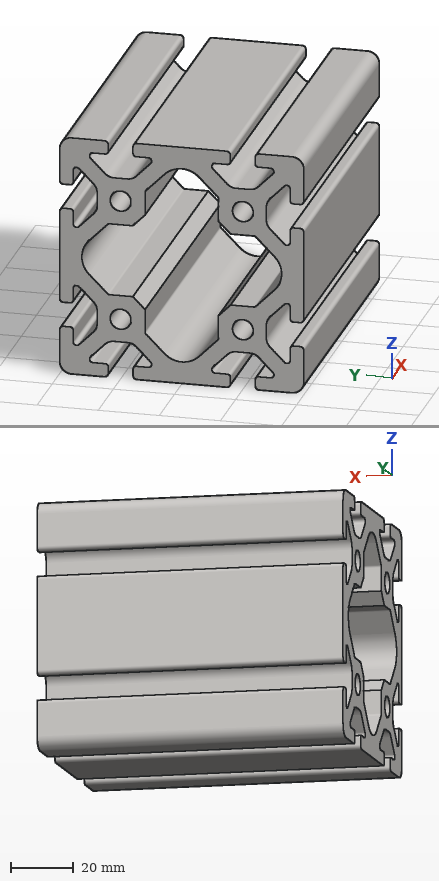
import cadquery as cq
import math

length = 100.0
side = 80.0
half_side = side / 2
slot_offset = side / 4
corner_radius = 4.0

mouth_width = 8.1
lip_thickness = 4.5
slot_depth = 12.3
floor_width = 7.8
lip_outer_radius = 1.3
lip_inner_radius = 1.0
undercut_radius = 1.1
floor_radius = 4.0

core_hole_diameter = 6.8
core_half_width = 8.0
core_chamfer = 4.0
core_foot_radius = 1.0
chamber_wall = 7.3


def turned(point, quarter_turns):
    """Rotate a section point about the middle of the section by quarter turns."""
    x, y = point
    for _ in range(quarter_turns):
        x, y = -y, x
    return x, y


def repeated_on_four_sides(corners):
    """Copy (point, radius) corners of the top side, listed right to left, around the section."""
    return [(turned(point, turns), radius) for turns in range(4) for point, radius in corners]


def stepped(start, target, distance):
    """The point at a distance from start on the way to target."""
    ratio = distance / math.dist(start, target)
    return (
        start[0] + ratio * (target[0] - start[0]),
        start[1] + ratio * (target[1] - start[1]),
    )


def corner_arc(before, point, after, radius):
    """Start, middle and end of the arc that rounds a polygon corner."""
    a, b, c = math.dist(before, point), math.dist(point, after), math.dist(before, after)
    half_angle = math.acos((a**2 + b**2 - c**2) / (2 * a * b)) / 2
    setback = radius / math.tan(half_angle)
    start = stepped(point, before, setback)
    end = stepped(point, after, setback)
    chord_middle = ((start[0] + end[0]) / 2, (start[1] + end[1]) / 2)
    middle = stepped(point, chord_middle, radius / math.sin(half_angle) - radius)
    return start, middle, end


def rounded_prism(corners):
    """Extrude a polygon of (point, radius) corners along X; a zero radius keeps a corner sharp."""
    section = cq.Workplane("YZ")
    for index, (point, radius) in enumerate(corners):
        if radius == 0:
            arc = (point,)
        else:
            before = corners[index - 1][0]
            after = corners[(index + 1) % len(corners)][0]
            arc = corner_arc(before, point, after, radius)
        section = section.moveTo(*arc[0]) if index == 0 else section.lineTo(*arc[0])
        if radius > 0:
            section = section.threePointArc(*arc[1:])
    return section.close().extrude(length)


def slot_corners(center):
    """Corners of one T-slot in the top side, right to left."""
    mouth = mouth_width / 2
    lip_underside = half_side - lip_thickness
    floor = half_side - slot_depth
    undercut = floor_width / 2 + lip_underside - floor
    right_half = [
        (mouth, half_side, lip_outer_radius),
        (mouth, lip_underside, lip_inner_radius),
        (undercut, lip_underside, undercut_radius),
        (floor_width / 2, floor, floor_radius),
    ]
    right = [((center + x, y), radius) for x, y, radius in right_half]
    left = [((center - x, y), radius) for x, y, radius in reversed(right_half)]
    return right + left


def outer_body():
    """Square section with rounded corners and all eight T-slots in its outline."""
    top_side = [((half_side, half_side), corner_radius)]
    top_side += slot_corners(slot_offset)
    top_side += slot_corners(-slot_offset)
    return rounded_prism(repeated_on_four_sides(top_side))


def chamber():
    """Four-lobed central opening with 45-degree flanks leaving the core blocks."""
    core_face = slot_offset - core_half_width
    flank_foot = slot_offset + core_half_width - core_chamfer
    chamfer_end = core_face + core_chamfer
    apex = flank_foot + core_face
    crown_radius = (apex - (half_side - chamber_wall)) / (math.sqrt(2) - 1)
    top_lobe = [
        ((core_face, chamfer_end), 0),
        ((core_face, flank_foot), core_foot_radius),
        ((0, apex), crown_radius),
        ((-core_face, flank_foot), core_foot_radius),
        ((-core_face, chamfer_end), 0),
    ]
    return rounded_prism(repeated_on_four_sides(top_lobe))


def core_holes():
    """One through hole in each of the four core blocks."""
    return (
        cq.Workplane("YZ")
        .rect(2 * slot_offset, 2 * slot_offset, forConstruction=True)
        .vertices()
        .circle(core_hole_diameter / 2)
        .extrude(length)
    )


result = outer_body().cut(chamber()).cut(core_holes())